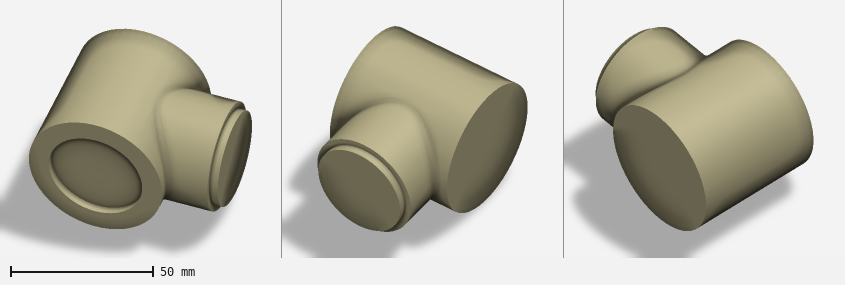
import cadquery as cq

overall_length = 68.0
body_diameter = 50.0
body_length = 50.0
branch_diameter = 40.0
joint_diameter = 35.0
joint_depth = 3.0
blend_radius = 2.0

branch_tip = overall_length - body_diameter / 2
branch_shoulder = branch_tip - joint_depth


def cylinder_along_x(diameter, length):
    """Cylinder that starts on the body axis and runs toward +X."""
    return cq.Workplane("YZ").circle(diameter / 2).extrude(length)


def joined_body():
    """Main cylinder along Y with the side branch blended into it."""
    body = cq.Workplane("XZ").circle(body_diameter / 2).extrude(body_length / 2, both=True)
    tee = body.union(cylinder_along_x(branch_diameter, branch_shoulder))
    margin = 0.7
    joint_zone = cq.selectors.BoxSelector(
        (margin, -body_length / 2 + margin, -body_diameter / 2),
        (branch_shoulder - margin, body_length / 2 - margin, body_diameter / 2),
    )
    return tee.edges(joint_zone).edges("not %LINE").fillet(blend_radius)


def front_recess():
    """Shallow round recess cut into the -Y end face."""
    return (
        cq.Workplane("XZ", origin=(0, -body_length / 2, 0))
        .circle(joint_diameter / 2)
        .extrude(-joint_depth)
    )


spigot = cylinder_along_x(joint_diameter, branch_tip)
result = joined_body().union(spigot).cut(front_recess())